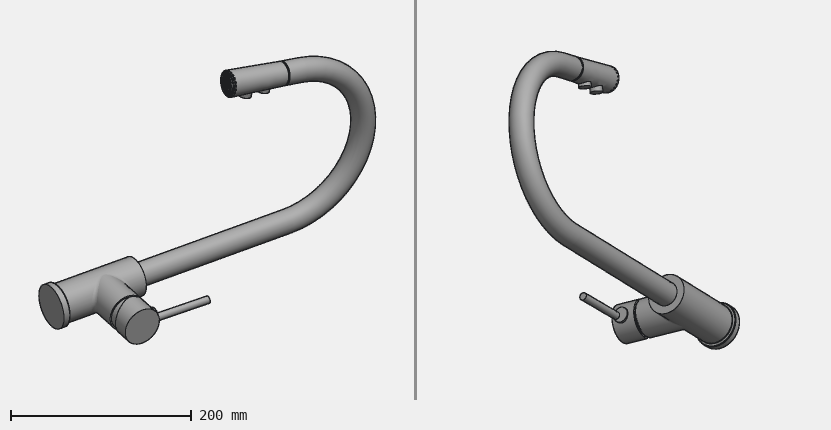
import cadquery as cq
import math

overlap = 4.2

flange_radius = 26.0
flange_thickness = 8.5
flange_chamfer = 1.0
groove_radius = 22.5
groove_width = 1.3
body_radius = 23.2
body_end = 110.0

branch_y = 64.5
branch_radius = 22.5
branch_end = 55.0
branch_blend = 4.2

cap_start = 57.5
cap_end = 86.0
cap_radius = branch_radius
cap_slant_end = 66.0
neck_start_radius = 20.5
neck_end_radius = 18.0

lever_radius = 4.45
lever_foot_x = 79.5
lever_tip_x = 81.0
lever_tip_y = 154.0
pad_centre_x = 74.0
pad_diameter = 17.7
pad_rise = 1.3

overall_length = 422.5
pipe_radius = 14.0
bend_start_y = 308.7
bend_radius = overall_length - pipe_radius - bend_start_y
tilt = math.radians(10)

head_start = 23.0
head_end = 96.0
head_start_radius = pipe_radius
head_end_radius = 15.4
head_groove_width = 1.3
head_groove_depth = 1.05

disc_radius = 9.5
disc_rise = 2.0
notch_count = 20
notch_inner = 10.0
notch_outer = 14.5
notch_width = 1.48
notch_depth = 1.5
nozzle_diameter = 1.3
nozzle_depth = 1.3
nozzle_pitch = 2.5
nozzle_rings = 3
nozzles_per_ring_step = 6

button_diameter = 14.5
button_places = [(46.5, 3.15), (70.0, 4.5)]


def rod(start, direction, radius, length):
    """Cylinder that begins at start and runs along direction."""
    return cq.Workplane(cq.Solid.makeCylinder(radius, length, cq.Vector(*start), cq.Vector(*direction)))


def make_base():
    flange = rod((0, 0, 0), (0, 1, 0), flange_radius, flange_thickness)
    flange = flange.faces(">Y").chamfer(flange_chamfer)
    groove_core = rod((0, 0, 0), (0, 1, 0), groove_radius, body_end)
    body_start = flange_thickness + groove_width
    body = rod((0, body_start, 0), (0, 1, 0), body_radius, body_end - body_start)
    branch = rod((0, branch_y, 0), (1, 0, 0), branch_radius, branch_end)
    joined = body.union(branch)
    joined = joined.edges("not (%LINE or %CIRCLE)").fillet(branch_blend)
    return joined.union(groove_core).union(flange)


def make_mixer():
    neck = cq.Workplane(
        cq.Solid.makeCone(
            neck_start_radius,
            neck_end_radius,
            cap_slant_end - branch_end + overlap,
            cq.Vector(branch_end, branch_y, 0),
            cq.Vector(1, 0, 0),
        )
    )
    cap = rod((cap_start, branch_y, 0), (1, 0, 0), cap_radius, cap_end - cap_start)
    slant = (
        cq.Workplane("XY")
        .moveTo(cap_start, branch_y)
        .lineTo(cap_slant_end, branch_y - cap_radius)
        .lineTo(cap_start, branch_y - cap_radius)
        .close()
        .extrude(cap_radius, both=True)
    )
    pad = rod((pad_centre_x, branch_y, 0), (0, 1, 0), pad_diameter / 2, cap_radius + pad_rise)
    foot_y = branch_y + cap_radius - lever_radius
    run = lever_tip_x - lever_foot_x
    rise = lever_tip_y - foot_y
    lever = rod((lever_foot_x, foot_y, 0), (run, rise, 0), lever_radius, math.hypot(run, rise))
    branch_core = rod((0, branch_y, 0), (1, 0, 0), neck_end_radius, branch_end + overlap)
    return cap.cut(slant).union(neck).union(branch_core).union(pad).union(lever)


def bend_point(angle):
    """Y and Z on the bend's centreline after turning by angle."""
    return (bend_start_y + bend_radius * math.sin(angle), bend_radius - bend_radius * math.cos(angle))


bend_angle = math.pi - tilt
bend_end_y, bend_end_z = bend_point(bend_angle)


def head_plane(distance):
    """Plane across the spray head, facing its outlet, with local Y upward."""
    ahead = (-math.cos(tilt), math.sin(tilt))
    origin = (0, bend_end_y + distance * ahead[0], bend_end_z + distance * ahead[1])
    return cq.Plane(origin=origin, xDir=(1, 0, 0), normal=(0, ahead[0], ahead[1]))


def make_spout():
    outlet = head_plane(head_start)
    path = (
        cq.Workplane("YZ")
        .moveTo(body_end - overlap, 0)
        .lineTo(bend_start_y, 0)
        .threePointArc(bend_point(bend_angle / 2), (bend_end_y, bend_end_z))
        .lineTo(outlet.origin.y, outlet.origin.z)
    )
    return cq.Workplane("XZ", origin=(0, body_end - overlap, 0)).circle(pipe_radius).sweep(path)


def make_nozzles():
    face = cq.Workplane(head_plane(head_end + disc_rise))
    nozzles = face.circle(nozzle_diameter / 2).extrude(-nozzle_depth)
    for ring in range(1, nozzle_rings + 1):
        count = nozzles_per_ring_step * ring
        places = face.polarArray(ring * nozzle_pitch, 0, 360, count)
        nozzles = nozzles.union(places.circle(nozzle_diameter / 2).extrude(-nozzle_depth))
    return nozzles


def make_head():
    head = (
        cq.Workplane(head_plane(head_start + head_groove_width))
        .circle(head_start_radius)
        .workplane(offset=head_end - head_start - head_groove_width)
        .circle(head_end_radius)
        .loft()
    )
    core = (
        cq.Workplane(head_plane(head_start))
        .circle(pipe_radius - head_groove_depth)
        .extrude(head_groove_width + overlap)
    )
    disc = cq.Workplane(head_plane(head_end)).circle(disc_radius).extrude(disc_rise)
    notches = (
        cq.Workplane(head_plane(head_end))
        .polarArray((notch_inner + notch_outer) / 2, 0, 360, notch_count)
        .rect(notch_outer - notch_inner, notch_width)
        .extrude(-notch_depth)
    )
    nozzles = make_nozzles()
    return head.union(core).union(disc).cut(notches).cut(nozzles)


def make_button(distance, height):
    plane = head_plane(distance)
    down = plane.yDir * -1
    taper = (head_end_radius - head_start_radius) / (head_end - head_start)
    surface = head_start_radius + taper * (distance - head_start)
    return rod(plane.origin.toTuple(), down.toTuple(), button_diameter / 2, surface + height)


result = make_base().union(make_mixer()).union(make_spout()).union(make_head())
for distance, height in button_places:
    result = result.union(make_button(distance, height))